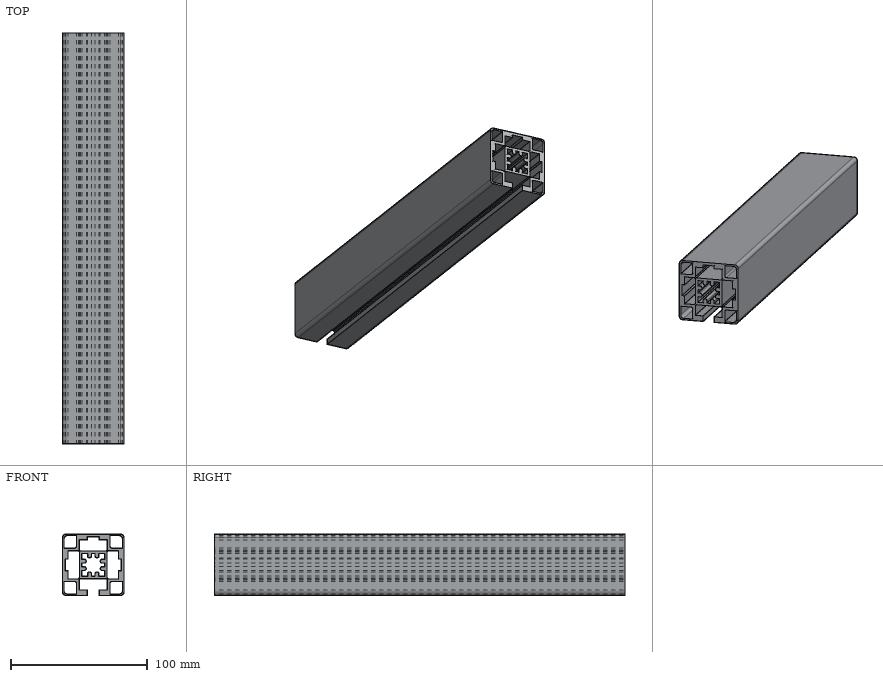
import cadquery as cq

LENGTH = 300.0
SIDE = 45.0
OUTER_RADIUS = 2.7
HALF_SIDE = SIDE / 2

SLOT_HALF_WIDTH = 10.2
LIP_THICKNESS = 4.2
MOUTH_HALF_WIDTH = 4.2
COVER_THICKNESS = 2.0
WEB_CHAMFER = 0.75
MOUTH_OVERSHOOT = 3.0
SLOT_TOP = HALF_SIDE - LIP_THICKNESS
CLOSED_MOUTH_END = HALF_SIDE - COVER_THICKNESS
OPEN_MOUTH_END = HALF_SIDE + MOUTH_OVERSHOOT

HOLLOW_WALL = 1.2
HOLLOW_INNER = 12.3
HOLLOW_OUTER_RADIUS = 2.5
HOLLOW_INNER_RADIUS = 1.2
HOLLOW_OUTER = HALF_SIDE - HOLLOW_WALL

CORE_HALF = SLOT_HALF_WIDTH
CORE_WALL = 1.95
CAVITY_HALF = CORE_HALF - CORE_WALL
FINGER_OFFSET = 2.7
FINGER_WIDTH = 3.0
FINGER_ROOT_WIDTH = 2.85
FINGER_TIP = 5.0

QUARTER_TURNS = (0, 90, 180, 270)
OPEN_SLOT_TURN = 180


def sweep(outline):
    """Extrude an XZ outline over the full length, centred on Y."""
    return outline.extrude(LENGTH / 2, both=True)


def turned(body, angle):
    """Turn a body about the long axis of the profile."""
    return body.rotate((0, 0, 0), (0, 1, 0), angle)


def square_bar(low, high):
    """Full-length bar whose X and Z both run from low to high."""
    centre = (low + high) / 2
    size = high - low
    return sweep(cq.Workplane("XZ").center(centre, centre).rect(size, size))


def slot_cavity(mouth_end):
    """T-slot on the +Z side, with its mouth reaching up to mouth_end.

    The chamfers beside the core leave the diagonal webs that carry it.
    """
    right = [
        (CORE_HALF - WEB_CHAMFER, CORE_HALF),
        (SLOT_HALF_WIDTH, CORE_HALF + WEB_CHAMFER),
        (SLOT_HALF_WIDTH, SLOT_TOP),
        (MOUTH_HALF_WIDTH, SLOT_TOP),
        (MOUTH_HALF_WIDTH, mouth_end),
    ]
    left = [(-x, z) for x, z in reversed(right)]
    return sweep(cq.Workplane("XZ").polyline(right + left).close())


def corner_hollow():
    """Square hollow in the +X +Z corner, rounded toward the outside and toward the core."""
    hollow = square_bar(HOLLOW_INNER, HOLLOW_OUTER)
    hollow = hollow.edges("|Y and (>X and >Z)").fillet(HOLLOW_OUTER_RADIUS)
    return hollow.edges("|Y and (<X and <Z)").fillet(HOLLOW_INNER_RADIUS)


def finger(x_centre):
    """Round-tipped rib reaching from the +Z core wall toward the bore."""
    half_width = FINGER_WIDTH / 2
    half_root = FINGER_ROOT_WIDTH / 2
    shoulder = FINGER_TIP + half_width
    outline = (
        cq.Workplane("XZ")
        .moveTo(x_centre - half_root, CAVITY_HALF)
        .lineTo(x_centre - half_width, shoulder)
        .threePointArc((x_centre, FINGER_TIP), (x_centre + half_width, shoulder))
        .lineTo(x_centre + half_root, CAVITY_HALF)
        .close()
    )
    return sweep(outline)


result = square_bar(-HALF_SIDE, HALF_SIDE).edges("|Y").fillet(OUTER_RADIUS)
result = result.cut(square_bar(-CAVITY_HALF, CAVITY_HALF))

for angle in QUARTER_TURNS:
    mouth_end = OPEN_MOUTH_END if angle == OPEN_SLOT_TURN else CLOSED_MOUTH_END
    result = result.cut(turned(slot_cavity(mouth_end), angle))
    result = result.cut(turned(corner_hollow(), angle))
    for x_centre in (-FINGER_OFFSET, FINGER_OFFSET):
        result = result.union(turned(finger(x_centre), angle))